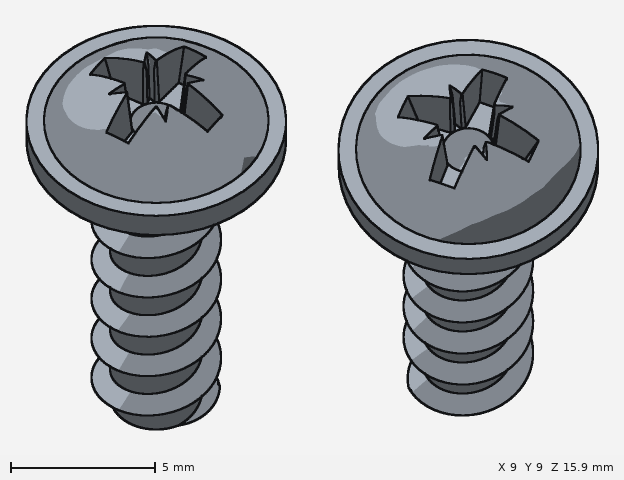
import cadquery as cq
import math

flange_diameter = 9.0
flange_height = 0.98
dome_base_diameter = 7.78
dome_height = 2.02

shank_diameter = 3.2
shank_length = 13.0
thread_diameter = 4.5
thread_pitch = 2.0
thread_flank_angle = 32.0
thread_start_depth = 2.33
crest_depth_at_x = 3.25
root_overlap = 0.1

recess_floor_height = -0.05
recess_top_height = 2.2
wing_end_radius = 1.97
wing_end_half_width = 0.372
wing_side_flare = 0.055
wing_side_draft = 0.083
wing_end_draft = 0.343
core_floor_apothem = 0.9
core_draft = 0.09
cone_radius = 0.9
cone_angle = 120.0

tick_bend_height = 1.47
tick_floor_radius = 1.15
tick_bend_radius = 1.4
tick_half_width = 0.13
tick_upper_slope = 1.1
tick_upper_flare = 0.17

floor_z = flange_height + recess_floor_height
bend_z = flange_height + tick_bend_height
top_z = flange_height + recess_top_height
recess_height = top_z - floor_z


def make_head():
    base_radius = dome_base_diameter / 2
    sphere_radius = (base_radius**2 + dome_height**2) / (2 * dome_height)
    centre_z = flange_height + dome_height - sphere_radius
    half_angle = math.asin(base_radius / sphere_radius) / 2
    arc_middle = (sphere_radius * math.sin(half_angle), centre_z + sphere_radius * math.cos(half_angle))
    return (
        cq.Workplane("XZ")
        .lineTo(flange_diameter / 2, 0)
        .lineTo(flange_diameter / 2, flange_height)
        .lineTo(base_radius, flange_height)
        .threePointArc(arc_middle, (0, flange_height + dome_height))
        .close()
        .revolve(360, (0, 0), (0, 1))
    )


def make_shank():
    return (
        cq.Workplane("XY")
        .workplane(offset=-shank_length)
        .circle(shank_diameter / 2)
        .extrude(shank_length + flange_height / 2)
    )


def make_thread():
    """Triangular ridge swept along a helix and trimmed flat at both ends."""
    crest_radius = thread_diameter / 2
    inner_radius = shank_diameter / 2 - root_overlap
    half_thickness = (crest_radius - inner_radius) * math.tan(math.radians(thread_flank_angle))

    turns_below = math.ceil((shank_length - crest_depth_at_x) / thread_pitch) + 1
    bottom_z = -crest_depth_at_x - turns_below * thread_pitch
    turns_above = 2
    helix_height = (turns_below + turns_above) * thread_pitch
    helix = cq.Wire.makeHelix(thread_pitch, helix_height, inner_radius).translate(cq.Vector(0, 0, bottom_z))
    ridge = (
        cq.Workplane("XZ")
        .moveTo(inner_radius, bottom_z - half_thickness)
        .lineTo(crest_radius, bottom_z)
        .lineTo(inner_radius, bottom_z + half_thickness)
        .close()
        .sweep(cq.Workplane(helix), isFrenet=True)
    )
    trim = (
        cq.Workplane("XY")
        .workplane(offset=-shank_length)
        .circle(thread_diameter)
        .extrude(shank_length - thread_start_depth)
    )
    return ridge.intersect(trim)


def loft_between(lower_points, lower_z, upper_points, upper_z):
    return (
        cq.Workplane("XY")
        .workplane(offset=lower_z)
        .polyline(lower_points)
        .close()
        .workplane(offset=upper_z - lower_z)
        .polyline(upper_points)
        .close()
        .loft(ruled=True)
    )


def wing_outline(rise):
    """Trapezoid from the axis out to the wing's end, at a height above the recess floor."""
    end_radius = wing_end_radius + wing_end_draft * rise
    axis_half_width = wing_end_half_width + wing_side_flare * wing_end_radius + wing_side_draft * rise
    end_half_width = axis_half_width - wing_side_flare * end_radius
    return [
        (0, -axis_half_width),
        (end_radius, -end_half_width),
        (end_radius, end_half_width),
        (0, axis_half_width),
    ]


def core_outline(rise):
    """Square whose corners lie on the X and Y axes."""
    corner = math.sqrt(2) * (core_floor_apothem + core_draft * rise)
    return [(corner, 0), (0, corner), (-corner, 0), (0, -corner)]


def tick_outline(face_radius, half_width, tip_radius):
    """Sharp triangle pointing along +X, continued inwards to the axis as a strip."""
    return [
        (0, -half_width),
        (face_radius, -half_width),
        (tip_radius, 0),
        (face_radius, half_width),
        (0, half_width),
    ]


def make_tick():
    bend_rise = bend_z - floor_z
    upper_rise = top_z - bend_z
    bend_face_radius = core_floor_apothem + core_draft * bend_rise
    top_face_radius = core_floor_apothem + core_draft * recess_height
    at_floor = tick_outline(core_floor_apothem, tick_half_width, tick_floor_radius)
    at_bend = tick_outline(bend_face_radius, tick_half_width, tick_bend_radius)
    at_top = tick_outline(
        top_face_radius,
        tick_half_width + tick_upper_flare * upper_rise,
        tick_bend_radius + tick_upper_slope * upper_rise,
    )
    lower = loft_between(at_floor, floor_z, at_bend, bend_z)
    upper = loft_between(at_bend, bend_z, at_top, top_z)
    return lower.union(upper)


def make_recess():
    recess = loft_between(core_outline(0), floor_z, core_outline(recess_height), top_z)
    wing = loft_between(wing_outline(0), floor_z, wing_outline(recess_height), top_z)
    tick = make_tick()
    for quarter in range(4):
        angle = 90 * quarter
        recess = recess.union(wing.rotate((0, 0, 0), (0, 0, 1), angle))
        recess = recess.union(tick.rotate((0, 0, 0), (0, 0, 1), angle + 45))
    cone_depth = cone_radius / math.tan(math.radians(cone_angle / 2))
    cone = cq.Workplane(
        cq.Solid.makeCone(0, cone_radius, cone_depth, pnt=cq.Vector(0, 0, floor_z - cone_depth))
    )
    return recess.union(cone)


result = make_head().union(make_shank()).union(make_thread()).cut(make_recess())